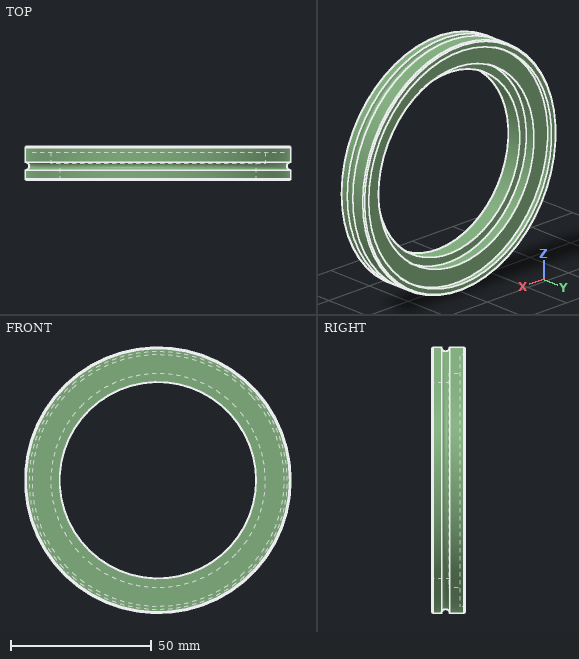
import cadquery as cq

outer_diameter = 95.0
width = 12.0
edge_chamfer = 0.5
bore_diameter = 70.0
bore_length = 6.0

counterbore_diameter = 76.5
counterbore_length = 4.0
back_recess_diameter = 90.0

groove_radius = 1.4
groove_floor_diameter = 92.15
groove_offset = 4.9

front_y = -width / 2
back_y = width / 2


def cylinder(diameter, start_y, length):
    """Solid cylinder along +Y that starts at start_y."""
    return cq.Workplane("XZ", origin=(0, start_y, 0)).circle(diameter / 2).extrude(-length)


def make_ring():
    """Plain ring with chamfered outer edges."""
    disc = cylinder(outer_diameter, front_y, width).faces("<Y or >Y").edges().chamfer(edge_chamfer)
    return disc.cut(cylinder(bore_diameter, front_y, width))


def make_stepped_recess():
    """Counterbore behind the bore, widening to a shallow recess in the back face."""
    counterbore_y = front_y + bore_length
    back_recess_y = counterbore_y + counterbore_length
    counterbore = cylinder(counterbore_diameter, counterbore_y, counterbore_length)
    back_recess = cylinder(back_recess_diameter, back_recess_y, back_y - back_recess_y)
    return counterbore.union(back_recess)


def make_groove():
    """Torus that cuts the groove into the rim."""
    centre_radius = groove_floor_diameter / 2 + groove_radius
    return (
        cq.Workplane("XY")
        .center(centre_radius, front_y + groove_offset)
        .circle(groove_radius)
        .revolve(360, (-centre_radius, 0, 0), (-centre_radius, 1, 0))
    )


result = make_ring().cut(make_stepped_recess()).cut(make_groove())